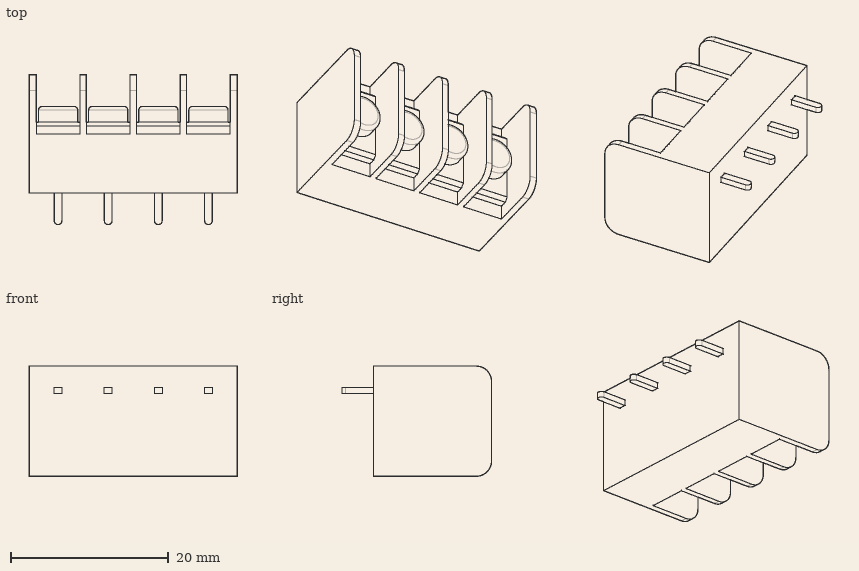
import cadquery as cq

pole_count = 4
pitch = 6.35

housing_length = 26.4
housing_depth = 15.0
housing_height = 14.0
housing_corner_radius = 2.0
bay_width = 5.5
bay_floor = 7.5

plate_thickness = 1.5
plate_height = 10.0
plate_chamfer = 0.5
pin_width = 1.0
pin_thickness = 0.8
pin_projection = 4.0
pin_center_z = 10.9
pin_tip_radius = pin_width / 2

screw_diameter = 5.0
screw_head_height = 2.0
screw_edge_radius = 0.5

center_z = housing_height / 2
plate_top = bay_floor + plate_thickness
tip_center_y = pin_tip_radius - pin_projection
pin_length = bay_floor - tip_center_y
pole_positions = [(i - (pole_count - 1) / 2) * pitch for i in range(pole_count)]


def block(width, depth, height, x, y, z):
    """Box centred at x and z, starting at y."""
    return cq.Workplane().box(width, depth, height, centered=(True, False, True)).translate((x, y, z))


def make_housing():
    body = block(housing_length, housing_depth, housing_height, 0, 0, center_z)
    body = body.edges("|X and >Y").fillet(housing_corner_radius)
    for x in pole_positions:
        body = body.cut(block(bay_width, housing_depth - bay_floor, housing_height, x, bay_floor, center_z))
        body = body.cut(block(pin_width, bay_floor, pin_thickness, x, 0, pin_center_z))
    return body


def make_contact(x):
    plate = block(bay_width, plate_thickness, plate_height, x, bay_floor, center_z)
    plate = plate.edges("|X and >Y").chamfer(plate_chamfer)
    pin = block(pin_width, pin_length, pin_thickness, x, tip_center_y, pin_center_z)
    tip = cq.Workplane().circle(pin_tip_radius).extrude(pin_thickness)
    tip = tip.translate((x, tip_center_y, pin_center_z - pin_thickness / 2))
    return plate.union(pin).union(tip)


def make_screw(x):
    head = cq.Workplane("XZ").circle(screw_diameter / 2).extrude(-screw_head_height)
    head = head.faces(">Y").edges().fillet(screw_edge_radius)
    return head.translate((x, plate_top, center_z))


housing = make_housing()
contacts = [make_contact(x) for x in pole_positions]
screws = [make_screw(x) for x in pole_positions]

result = cq.Compound.makeCompound(
    [housing.val()]
    + [contact.val() for contact in contacts]
    + [screw.val() for screw in screws]
)